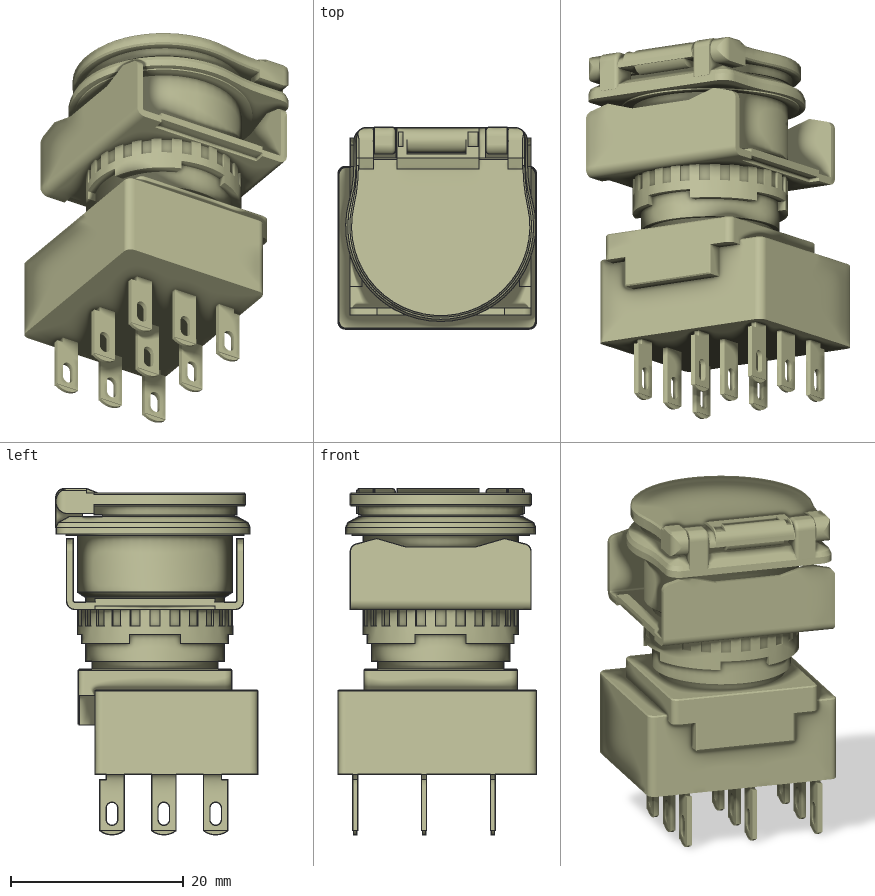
import cadquery as cq
import math


BEZEL_RADIUS = 11.0
BEZEL_HALF_WIDTH = 10.06
BEZEL_CORNER = 1.6
BEZEL_RIM_TOP = 0.8
BEZEL_SHOULDER_TOP = 1.35
BEZEL_TOP = 2.05
RIM_INSET = 0.25
SLOPE_INSET = 1.3
HINGE_REAR = 11.45
FLANK_START = 7.05
GASKET_RADIUS = 10.3
GASKET_THICKNESS = 0.15

HINGE_TOP = 5.3
KNUCKLE_INNER = 5.25
KNUCKLE_OUTER = 7.65
KNUCKLE_FRONT = 8.37
KNUCKLE_REAR = 11.5
KNUCKLE_ROUND = 1.05
KNUCKLE_END_ROUND = 0.4

HEAD_RADIUS = 9.0
HEAD_BOTTOM = -7.25
HEAD_BEVEL_HEIGHT = 0.55
HEAD_BEVEL_INSET = 0.85
SHANK_RADIUS = 8.03
SHANK_BOTTOM = -14.7
NECK_RADIUS = 7.32
FOOT_RADIUS = 8.5
FOOT_HEIGHT = 2.4

NUT_RADIUS = HEAD_RADIUS
NUT_BOTTOM = -12.65
GRIP_SLOT_COUNT = 24
GRIP_SLOT_WIDTH = 1.18
GRIP_SLOT_DEPTH = 0.35
GRIP_SLOT_BOTTOM = -10.6
CASTLE_COUNT = 4
CASTLE_WIDTH = 5.9
CASTLE_TOP = -11.62

PLATE_SIZE = 17.8
PLATE_TOP = -15.6
PLATE_BOTTOM = -18.65
PLATE_CORNER = 0.78
LATCH_WIDTH = 12.0
LATCH_BOTTOM = -22.1
LATCH_EDGE_BREAK = 0.15
HOUSING_X = 23.0
HOUSING_CENTER_X = -0.4
HOUSING_FRONT = -11.9
HOUSING_REAR = 6.96
HOUSING_TOP = -18.0
HOUSING_BOTTOM = -27.8
HOUSING_CORNER = 0.9
TOP_EDGE_BREAK = 0.15

TERMINAL_COLUMNS = 3
TERMINAL_FIRST_X = -9.9
TERMINAL_PITCH_X = 7.97
TERMINAL_CENTER_Y = -1.02
TERMINAL_PITCH_Y = 6.0
TERMINAL_THICKNESS = 0.6
TERMINAL_WIDTH = 2.85
TERMINAL_TIP_THICKNESS = 0.4
TERMINAL_TIP_TOP = -34.3
TERMINAL_BOTTOM = -34.8
TERMINAL_NOTCH_WIDTH = 0.75
TERMINAL_NOTCH_HEIGHT = 0.6
EYE_WIDTH = 1.3
EYE_HEIGHT = 2.65
EYE_CENTER_Z = -32.35

CLIP_HALF_WIDTH = 10.47
CLIP_HALF_DEPTH = 10.25
CLIP_THICKNESS = 0.85
CLIP_FLANGE_THICKNESS = 0.8
CLIP_BOTTOM = -8.72
CLIP_TOP = -0.5
CLIP_BEND = 1.0
CLIP_INNER_BEND = 0.2
CLIP_PEAK_X = 7.4
CLIP_DIP_X = 3.95
CLIP_DIP_Z = -1.5
CLIP_SHOULDER_X = 9.6
CLIP_SHOULDER_Z = -1.08
CLIP_SIDE_TOP = -2.1
CLIP_STRIP_WIDTH = 1.35
CLIP_STRIP_HALF_LENGTH = 6.94
CLIP_STRIP_RISE = 0.42

LID_RADIUS = 10.52
LID_HALF_WIDTH = 9.72
LID_CORNER = 1.1
LID_BOTTOM = 3.25
LID_TOP = 4.8
LID_EDGE_BREAK = 0.2
LID_REAR_EDGE = 7.94
SKIRT_RADIUS = 9.5
SKIRT_BOTTOM = 2.25
SEAT_RADIUS = 9.2
SEAT_REAR = 6.1
EAR_INNER = 7.8
EAR_BOTTOM = 2.4
EAR_EDGE_BREAK = 0.25
EAR_BOTTOM_ROUND = 1.3
HINGE_ROUND = 1.45
RAMP_FOOT = 6.65
WEB_HALF_WIDTH = 5.2
HUMP_LEFT = -5.05
HUMP_RIGHT = 4.45
PIN_LEFT = -3.9
PIN_RIGHT = 2.95
PIN_RADIUS = HINGE_ROUND
PIN_CENTER_Y = HINGE_REAR - HINGE_ROUND
PIN_CENTER_Z = HINGE_TOP - HINGE_ROUND
CHANNEL_FRONT = 8.37
CHANNEL_FLOOR = 3.6
PIN_POCKETS = ((-4.9, -4.35), (3.15, 4.3))
POCKET_FRONT = 9.25
POCKET_REAR = 10.95
POCKET_DEPTH = 0.4


def box(x0, x1, y0, y1, z0, z1):
    """Box between two opposite corners."""
    return cq.Workplane("XY").box(x1 - x0, y1 - y0, z1 - z0, centered=False).translate((x0, y0, z0))


def cylinder(radius, z0, z1):
    """Upright cylinder on the button axis."""
    return cq.Workplane("XY").workplane(offset=z0).circle(radius).extrude(z1 - z0)


def waisted_outline(radius, half_width, rear, corner, z):
    """Round front that runs through hollow flanks into straight sides and a square rear."""
    flank = (half_width**2 + FLANK_START**2 - radius**2) / (2 * (radius - half_width))
    flank_x = half_width + flank
    tangent_angle = math.atan2(FLANK_START, flank_x)
    tangent_x = radius * math.cos(tangent_angle)
    tangent_y = radius * math.sin(tangent_angle)
    middle_angle = tangent_angle / 2
    middle_x = flank_x - flank * math.cos(middle_angle)
    middle_y = FLANK_START - flank * math.sin(middle_angle)
    corner_mid = corner * (1 - math.sqrt(0.5))
    return (
        cq.Workplane("XY")
        .workplane(offset=z)
        .moveTo(-tangent_x, tangent_y)
        .threePointArc((0, -radius), (tangent_x, tangent_y))
        .threePointArc((middle_x, middle_y), (half_width, FLANK_START))
        .lineTo(half_width, rear - corner)
        .threePointArc((half_width - corner_mid, rear - corner_mid), (half_width - corner, rear))
        .lineTo(corner - half_width, rear)
        .threePointArc((corner_mid - half_width, rear - corner_mid), (-half_width, rear - corner))
        .lineTo(-half_width, FLANK_START)
        .threePointArc((-middle_x, middle_y), (-tangent_x, tangent_y))
        .close()
    )


def bezel_outline(inset, z):
    return waisted_outline(
        BEZEL_RADIUS - inset, BEZEL_HALF_WIDTH - inset, HINGE_REAR - inset, BEZEL_CORNER - inset, z
    )


def make_bezel():
    """Upright rim, steep bevel and shallow slope, with the gasket below."""
    shoulder_height = BEZEL_SHOULDER_TOP - BEZEL_RIM_TOP
    slope_height = BEZEL_TOP - BEZEL_SHOULDER_TOP
    shoulder_taper = math.degrees(math.atan2(RIM_INSET, shoulder_height))
    slope_taper = math.degrees(math.atan2(SLOPE_INSET, slope_height))
    rim = bezel_outline(0, 0).extrude(BEZEL_RIM_TOP)
    shoulder = bezel_outline(0, BEZEL_RIM_TOP).extrude(shoulder_height, taper=shoulder_taper)
    slope = bezel_outline(RIM_INSET, BEZEL_SHOULDER_TOP).extrude(slope_height, taper=slope_taper)
    gasket = cylinder(GASKET_RADIUS, -GASKET_THICKNESS, 0)
    return rim.union(shoulder).union(slope).union(gasket)


def make_knuckle(side):
    """Hinge knuckle standing on the rear of the bezel; side is -1 or 1."""
    knuckle = (
        box(KNUCKLE_INNER, KNUCKLE_OUTER, KNUCKLE_FRONT, KNUCKLE_REAR, BEZEL_RIM_TOP, HINGE_TOP)
        .edges("|X and >Z")
        .fillet(KNUCKLE_ROUND)
        .faces("<X")
        .edges("not <Z")
        .fillet(KNUCKLE_END_ROUND)
    )
    return knuckle if side > 0 else knuckle.mirror("YZ")


def make_barrel():
    """Turned head, shank, neck and the foot that sits in the contact block."""
    bevel_radius = HEAD_RADIUS - HEAD_BEVEL_INSET
    profile = [
        (0, 0),
        (HEAD_RADIUS, 0),
        (HEAD_RADIUS, HEAD_BOTTOM + HEAD_BEVEL_HEIGHT),
        (bevel_radius, HEAD_BOTTOM),
        (SHANK_RADIUS, HEAD_BOTTOM),
        (SHANK_RADIUS, SHANK_BOTTOM),
        (NECK_RADIUS, SHANK_BOTTOM),
        (NECK_RADIUS, PLATE_TOP),
        (FOOT_RADIUS, PLATE_TOP),
        (FOOT_RADIUS, PLATE_TOP - FOOT_HEIGHT),
        (0, PLATE_TOP - FOOT_HEIGHT),
    ]
    return cq.Workplane("XZ").polyline(profile).close().revolve(360, (0, 0), (0, 1))


def make_nut():
    """Ring nut under the clip, with grip slots above and castle gaps below."""
    nut = cylinder(NUT_RADIUS, NUT_BOTTOM, CLIP_BOTTOM)
    nut = nut.cut(cylinder(SHANK_RADIUS, NUT_BOTTOM, CLIP_BOTTOM))
    half_slot = GRIP_SLOT_WIDTH / 2
    slot = box(
        NUT_RADIUS - GRIP_SLOT_DEPTH, NUT_RADIUS + GRIP_SLOT_DEPTH,
        -half_slot, half_slot, GRIP_SLOT_BOTTOM, CLIP_BOTTOM,
    )
    for index in range(GRIP_SLOT_COUNT):
        nut = nut.cut(slot.rotate((0, 0, 0), (0, 0, 1), index * 360 / GRIP_SLOT_COUNT))
    gap = box(0, 2 * NUT_RADIUS, -CASTLE_WIDTH / 2, CASTLE_WIDTH / 2, NUT_BOTTOM, CASTLE_TOP)
    for index in range(CASTLE_COUNT):
        nut = nut.cut(gap.rotate((0, 0, 0), (0, 0, 1), index * 360 / CASTLE_COUNT))
    return nut


def make_operator():
    operator = make_bezel().union(make_barrel()).union(make_nut())
    for side in (-1, 1):
        operator = operator.union(make_knuckle(side))
    return operator


def rounded_block(x0, x1, y0, y1, z0, z1, corner):
    """Block with rounded upright edges and a small bevel around its top."""
    block = box(x0, x1, y0, y1, z0, z1).edges("|Z").fillet(corner)
    return block.faces(">Z").edges().chamfer(TOP_EDGE_BREAK)


def make_terminal(x, y, notch_side):
    """Flat solder lug with an eye and a curved tip; notch_side marks its notched edge, 0 for none."""
    half = TERMINAL_WIDTH / 2
    blade = box(
        -TERMINAL_THICKNESS / 2, TERMINAL_THICKNESS / 2, -half, half, TERMINAL_TIP_TOP, HOUSING_BOTTOM
    )
    tip = (
        cq.Workplane("YZ")
        .workplane(offset=-TERMINAL_TIP_THICKNESS / 2)
        .moveTo(-half, TERMINAL_TIP_TOP)
        .threePointArc((0, TERMINAL_BOTTOM), (half, TERMINAL_TIP_TOP))
        .close()
        .extrude(TERMINAL_TIP_THICKNESS)
    )
    eye = (
        cq.Workplane("YZ")
        .center(0, EYE_CENTER_Z)
        .slot2D(EYE_HEIGHT, EYE_WIDTH, 90)
        .extrude(TERMINAL_THICKNESS, both=True)
    )
    terminal = blade.union(tip).cut(eye)
    if notch_side:
        notch = cq.Workplane("XY").box(TERMINAL_WIDTH, 2 * TERMINAL_NOTCH_WIDTH, 2 * TERMINAL_NOTCH_HEIGHT)
        terminal = terminal.cut(notch.translate((0, notch_side * half, HOUSING_BOTTOM)))
    return terminal.translate((x, y, 0))


def make_contact_block():
    """Plate with a recess for the foot, latch at its rear, housing and a grid of terminals."""
    half_plate = PLATE_SIZE / 2
    left = HOUSING_CENTER_X - HOUSING_X / 2
    plate = rounded_block(
        -half_plate, half_plate, -half_plate, half_plate, PLATE_BOTTOM, PLATE_TOP, PLATE_CORNER
    )
    housing = rounded_block(
        left, left + HOUSING_X, HOUSING_FRONT, HOUSING_REAR, HOUSING_BOTTOM, HOUSING_TOP, HOUSING_CORNER
    )
    latch = (
        box(-LATCH_WIDTH / 2, LATCH_WIDTH / 2, 0, half_plate, LATCH_BOTTOM, PLATE_BOTTOM)
        .faces(">Y")
        .edges("not >Z")
        .chamfer(LATCH_EDGE_BREAK)
    )
    foot_recess = cylinder(FOOT_RADIUS, PLATE_TOP - FOOT_HEIGHT, PLATE_TOP)
    block = plate.union(housing).union(latch).cut(foot_recess)
    for column in range(TERMINAL_COLUMNS):
        for row in (-1, 0, 1):
            x = TERMINAL_FIRST_X + column * TERMINAL_PITCH_X
            y = TERMINAL_CENTER_Y + row * TERMINAL_PITCH_Y
            block = block.union(make_terminal(x, y, row))
    return block


def flange_outline():
    """Front face of a clip flange: two peaks, a dip between them and rounded shoulders."""
    corner_angle = math.pi / 4
    arc_x = CLIP_HALF_WIDTH - CLIP_SHOULDER_X
    arc_z = CLIP_SHOULDER_Z - CLIP_SIDE_TOP
    arc_mid_x = CLIP_SHOULDER_X + arc_x * math.sin(corner_angle)
    arc_mid_z = CLIP_SIDE_TOP + arc_z * math.cos(corner_angle)
    return (
        cq.Workplane("XZ")
        .moveTo(-CLIP_HALF_WIDTH, CLIP_BOTTOM)
        .lineTo(-CLIP_HALF_WIDTH, CLIP_SIDE_TOP)
        .threePointArc((-arc_mid_x, arc_mid_z), (-CLIP_SHOULDER_X, CLIP_SHOULDER_Z))
        .lineTo(-CLIP_PEAK_X, CLIP_TOP)
        .lineTo(-CLIP_DIP_X, CLIP_DIP_Z)
        .lineTo(CLIP_DIP_X, CLIP_DIP_Z)
        .lineTo(CLIP_PEAK_X, CLIP_TOP)
        .lineTo(CLIP_SHOULDER_X, CLIP_SHOULDER_Z)
        .threePointArc((arc_mid_x, arc_mid_z), (CLIP_HALF_WIDTH, CLIP_SIDE_TOP))
        .lineTo(CLIP_HALF_WIDTH, CLIP_BOTTOM)
        .close()
    )


def make_clip():
    """Bent sheet channel around the shank with an offset strip along each open end."""
    inner_depth = CLIP_HALF_DEPTH - CLIP_FLANGE_THICKNESS
    floor_top = CLIP_BOTTOM + CLIP_THICKNESS
    outside = box(
        -CLIP_HALF_WIDTH, CLIP_HALF_WIDTH, -CLIP_HALF_DEPTH, CLIP_HALF_DEPTH, CLIP_BOTTOM, CLIP_TOP
    )
    inside = box(-CLIP_HALF_WIDTH, CLIP_HALF_WIDTH, -inner_depth, inner_depth, floor_top, CLIP_TOP)
    outside = outside.edges("|X and <Z").fillet(CLIP_BEND)
    inside = inside.edges("|X and <Z").fillet(CLIP_INNER_BEND)
    clip = outside.cut(inside).intersect(flange_outline().extrude(CLIP_HALF_DEPTH, both=True))
    clip = clip.cut(cylinder(SHANK_RADIUS, CLIP_BOTTOM, floor_top))
    for side in (-1, 1):
        strip_x = sorted((side * CLIP_HALF_WIDTH, side * (CLIP_HALF_WIDTH - CLIP_STRIP_WIDTH)))
        strip_plan = (*strip_x, -CLIP_STRIP_HALF_LENGTH, CLIP_STRIP_HALF_LENGTH)
        clip = clip.cut(box(*strip_plan, CLIP_BOTTOM, floor_top))
        clip = clip.union(box(*strip_plan, CLIP_BOTTOM + CLIP_STRIP_RISE, floor_top + CLIP_STRIP_RISE))
    return clip


def hinge_bar(x0, x1, bottom, top, front):
    """Bar along X behind the given front face, with a rounded rear."""
    bar = box(x0, x1, front, HINGE_REAR, bottom, top)
    return bar.edges("|X and >Y and >Z").fillet(HINGE_ROUND)


def ramp(x0, x1):
    """Wedge rising from the lid plate to the hinge top."""
    profile = [
        (RAMP_FOOT, LID_TOP - LID_EDGE_BREAK),
        (RAMP_FOOT, LID_TOP),
        (LID_REAR_EDGE, HINGE_TOP),
        (LID_REAR_EDGE, LID_TOP - LID_EDGE_BREAK),
    ]
    return cq.Workplane("YZ").workplane(offset=x0).polyline(profile).close().extrude(x1 - x0)


def make_ear(side):
    """Outer hinge ear, flush with the straight side of the lid; side is -1 or 1."""
    ear = hinge_bar(EAR_INNER, LID_HALF_WIDTH, EAR_BOTTOM, HINGE_TOP, FLANK_START)
    ear = ear.edges("|X and >Y and <Z").fillet(EAR_BOTTOM_ROUND)
    above_ramp = box(EAR_INNER, LID_HALF_WIDTH, FLANK_START, LID_REAR_EDGE, LID_TOP, HINGE_TOP)
    ear = ear.cut(above_ramp).union(ramp(EAR_INNER, LID_HALF_WIDTH - EAR_EDGE_BREAK))
    corner_outline = waisted_outline(LID_RADIUS, LID_HALF_WIDTH, HINGE_REAR, LID_CORNER, EAR_BOTTOM)
    envelope = corner_outline.extrude(HINGE_TOP - EAR_BOTTOM).faces(">Z").edges().chamfer(EAR_EDGE_BREAK)
    ear = ear.intersect(envelope)
    return ear if side > 0 else ear.mirror("YZ")


def make_hinge_center():
    """Central web with a hump, and the hinge pin exposed in a channel in the hump."""
    web = hinge_bar(-WEB_HALF_WIDTH, WEB_HALF_WIDTH, LID_BOTTOM, LID_TOP, LID_REAR_EDGE)
    hump = hinge_bar(HUMP_LEFT, HUMP_RIGHT, LID_BOTTOM, HINGE_TOP, LID_REAR_EDGE)
    channel = box(PIN_LEFT, PIN_RIGHT, CHANNEL_FRONT, PIN_CENTER_Y, CHANNEL_FLOOR, HINGE_TOP)
    center = web.union(hump).union(ramp(HUMP_LEFT, HUMP_RIGHT)).cut(channel)
    for left, right in PIN_POCKETS:
        center = center.cut(
            box(left, right, POCKET_FRONT, POCKET_REAR, HINGE_TOP - POCKET_DEPTH, HINGE_TOP)
        )
    pin = (
        cq.Workplane("YZ")
        .workplane(offset=PIN_LEFT)
        .center(PIN_CENTER_Y, PIN_CENTER_Z)
        .circle(PIN_RADIUS)
        .extrude(PIN_RIGHT - PIN_LEFT)
    )
    return center.union(pin)


def rear_trimmed_disc(radius, rear, z0, z1):
    """Disc cut off straight at its rear."""
    return cylinder(radius, z0, z1).cut(box(-radius, radius, rear, radius, z0, z1))


def make_lid():
    """Flat cover with a sealing skirt and seat, two hinge ears and the central hinge."""
    outline = waisted_outline(LID_RADIUS, LID_HALF_WIDTH, HINGE_REAR, LID_CORNER, LID_BOTTOM)
    lid = outline.extrude(LID_TOP - LID_BOTTOM).faces("<Z or >Z").edges().chamfer(LID_EDGE_BREAK)
    lid = lid.cut(box(-LID_RADIUS, LID_RADIUS, LID_REAR_EDGE, 2 * HINGE_REAR, LID_BOTTOM, LID_TOP))
    lid = lid.edges("|X and >Y and >Z").chamfer(LID_EDGE_BREAK)
    lid = lid.union(rear_trimmed_disc(SKIRT_RADIUS, FLANK_START, SKIRT_BOTTOM, LID_BOTTOM))
    lid = lid.union(rear_trimmed_disc(SEAT_RADIUS, SEAT_REAR, BEZEL_TOP, SKIRT_BOTTOM))
    lid = lid.union(make_hinge_center())
    for side in (-1, 1):
        lid = lid.union(make_ear(side))
    return lid


operator = make_operator()
contact_block = make_contact_block()
clip = make_clip()
lid = make_lid()

bodies = [operator, contact_block, clip, lid]
result = cq.Compound.makeCompound([body.solids().val() for body in bodies])